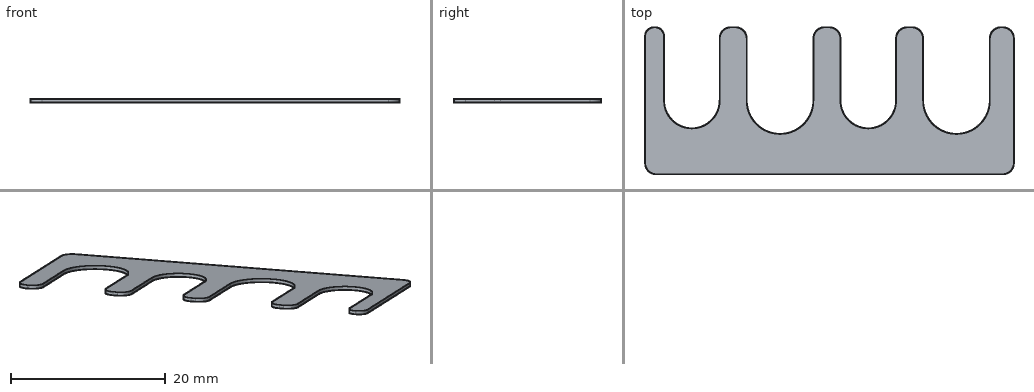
import cadquery as cq

length = 47.75
width = 19.05
thickness = 0.5
corner_radius = 1.5

first_slot_x = 6.05
slot_pitch = 11.4
slot_center_y = 9.55
narrow_slot = 7.15
wide_slot = 8.6
slot_widths = [narrow_slot, wide_slot, narrow_slot, wide_slot]

tip_radius = 1.5
left_tip_radius = 1.2


def slot_cutter(center_x, slot_width):
    """Round-bottomed slot that runs out through the +Y edge."""
    radius = slot_width / 2
    straight = width - slot_center_y
    return (
        cq.Workplane("XY")
        .moveTo(center_x - radius, slot_center_y)
        .threePointArc((center_x, slot_center_y - radius), (center_x + radius, slot_center_y))
        .line(0, straight)
        .line(-slot_width, 0)
        .close()
        .extrude(thickness)
    )


plate = cq.Workplane("XY").box(length, width, thickness, centered=False)
for index, slot_width in enumerate(slot_widths):
    plate = plate.cut(slot_cutter(first_slot_x + index * slot_pitch, slot_width))

plate = plate.edges("|Z and <Y").fillet(corner_radius)

left_finger_end = first_slot_x - narrow_slot / 2
tip_edges = plate.faces(">Y").edges("|Z")
left_tips = tip_edges.filter(lambda edge: edge.Center().x <= left_finger_end + tip_radius)
plate = plate.newObject(left_tips.vals()).fillet(left_tip_radius)
plate = plate.faces(">Y").edges("|Z").filter(
    lambda edge: edge.Center().x > left_finger_end + tip_radius
).fillet(tip_radius)

result = plate